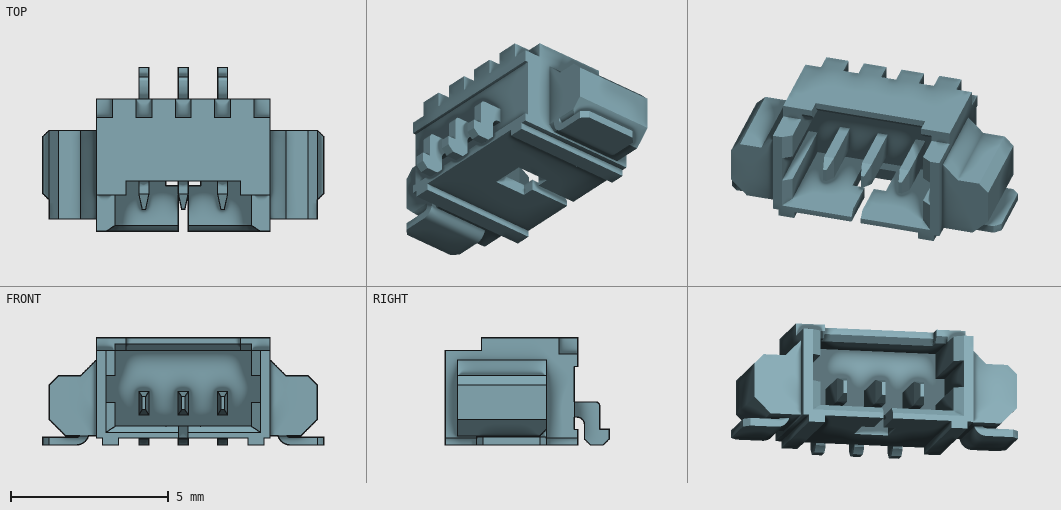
import cadquery as cq
import math


width = 5.5
base_z = 0.22
top_z = 3.4
rim_z = 3.0
back_y = 4.2
roof_front_y = 1.15

cavity_half = 2.15
mouth_half = 2.45
floor_z = 0.6
cavity_back_y = 2.955
flare_depth = 0.2
side_groove_z = (1.34, 2.2)
roof_bevel = 0.2

roof_notch_half = 1.81
roof_notch_back_y = 1.59
floor_slot_width = 0.3
floor_window_width = 1.1
floor_window_y = (1.45, 2.61)

relief_depth = 0.11
relief_z = (0.5, 2.48)
rear_notch_depth = 0.6
rear_notch_bottom_z = 2.88
rear_notch_width = 0.5
corner_notch_width = 0.52

standoff_x = (2.05, 2.56)

pitch = 1.25
contact_xs = [-pitch, 0, pitch]
contact_width = 0.32
blade_z = (0.95, 1.7)
blade_shoulder_y = 1.19
blade_tip_y = 0.7
tip_width = 0.11
tip_height = 0.41
tail_end_y = 5.2
tail_top_z = 1.37
tail_under_z = 0.88
tail_drop_y = (4.405, 4.895)
toe_top_z = 0.51
toe_chamfer = 0.2
inner_bend_radius = 0.23
outer_bend_radius = 0.13

wing_y = (0.39, 3.2)
wing_base_z = 0.29
wing_tip_x = 4.245
wing_shoulder_z = 2.2
wing_top_chamfer = 0.29
wing_under_chamfer = 0.52
wing_gusset_width = 0.5
wing_rear_chamfer = 0.205

nail_tip_x = 4.45
nail_thickness = 0.25
nail_y = (1.0, wing_y[1])
nail_chamfer = 0.205
nail_leg_x = 2.98
nail_outer_radius = 0.41
nail_leg_top_z = 0.8

half_width = width / 2


def block(x, y, z):
    """Axis-aligned block spanning the given (low, high) pairs."""
    size = (x[1] - x[0], y[1] - y[0], z[1] - z[0])
    return cq.Workplane("XY").box(*size, centered=False).translate((x[0], y[0], z[0]))


def centred(half, y, z):
    """Block of the given half width, symmetric about X = 0."""
    return block((-half, half), y, z)


def mirrored(shape):
    """The shape together with its mirror image across X = 0."""
    return shape.union(shape.mirror("YZ"))


def along_y(points, y):
    """Closed XZ outline extruded over the Y range."""
    return cq.Workplane("XZ", origin=(0, y[0], 0)).polyline(points).close().extrude(y[0] - y[1])


def along_x(points, half):
    """Closed YZ outline extruded symmetrically about X = 0."""
    return cq.Workplane("YZ").polyline(points).close().extrude(half, both=True)


def tapered_block(y_near, near, y_far, far):
    """Loft between two rectangles facing Y, each (width, low z, high z)."""
    def section(y, size):
        w, low, high = size
        wire = cq.Workplane("XZ", origin=(0, y, (low + high) / 2)).rect(w, high - low)
        return wire.wires().val()
    loft = cq.Solid.makeLoft([section(y_near, near), section(y_far, far)], True)
    return cq.Workplane("XY").add(loft)


def outer_housing():
    """Lower body, set-back roof and the two standoff rails."""
    body = centred(half_width, (0, back_y), (base_z, rim_z))
    roof = centred(half_width, (roof_front_y, back_y), (rim_z, top_z))
    standoff = block(standoff_x, (0, back_y), (0, base_z))
    return body.union(roof).union(mirrored(standoff))


def cavity():
    """Cavity with a groove along each side wall and a flared mouth."""
    hollow = centred(cavity_half, (0, cavity_back_y), (floor_z, rim_z))
    groove = centred(mouth_half, (0, cavity_back_y), side_groove_z)
    flare = tapered_block(
        0, (2 * mouth_half, floor_z - flare_depth, rim_z),
        flare_depth, (2 * cavity_half, floor_z, rim_z),
    )
    return hollow.union(groove).union(flare)


def roof_opening():
    """Notch in the roof, with the lower front edges of the roof bevelled."""
    def bevel(half, y):
        outline = [(y, rim_z), (y + roof_bevel, rim_z), (y, rim_z + roof_bevel)]
        return along_x(outline, half)

    notch = centred(roof_notch_half, (roof_front_y, roof_notch_back_y), (rim_z, top_z))
    notch = notch.union(bevel(roof_notch_half, roof_notch_back_y))
    return notch.union(bevel(cavity_half, roof_front_y))


def floor_opening():
    """Central slot from the mouth leading into a wider window."""
    slot = centred(floor_slot_width / 2, (0, floor_window_y[0]), (base_z, floor_z))
    window = centred(floor_window_width / 2, floor_window_y, (base_z, floor_z))
    return slot.union(window)


def rear_cuts():
    """Shallow relief across the back, with top notches over the contacts and at the corners."""
    cuts = centred(half_width, (back_y - relief_depth, back_y), relief_z)
    notch_y = (back_y - rear_notch_depth, back_y)
    notch_z = (rear_notch_bottom_z, top_z)
    for x in contact_xs:
        cuts = cuts.union(block((x - rear_notch_width / 2, x + rear_notch_width / 2), notch_y, notch_z))
    corner = block((half_width - corner_notch_width, half_width), notch_y, notch_z)
    return cuts.union(mirrored(corner))


def round_edge(shape, y, z, radius):
    """Fillet the edge along X that passes through the given Y and Z."""
    return shape.edges(cq.selectors.NearestToPointSelector((0, y, z))).fillet(radius)


def contact():
    """Pin with a pointed blade in the cavity and a bent-down solder tail at the rear."""
    shoulder = (contact_width, *blade_z)
    middle_z = sum(blade_z) / 2
    tip = (tip_width, middle_z - tip_height / 2, middle_z + tip_height / 2)
    blade = centred(contact_width / 2, (blade_shoulder_y, cavity_back_y), blade_z)
    blade = blade.union(tapered_block(blade_tip_y, tip, blade_shoulder_y, shoulder))

    inner_y, outer_y = tail_drop_y
    tail = (
        cq.Workplane("YZ")
        .moveTo(cavity_back_y, tail_top_z)
        .lineTo(outer_y, tail_top_z)
        .lineTo(outer_y, toe_top_z)
        .lineTo(tail_end_y, toe_top_z)
        .lineTo(tail_end_y, toe_chamfer)
        .lineTo(tail_end_y - toe_chamfer, 0)
        .lineTo(inner_y + toe_chamfer, 0)
        .lineTo(inner_y, toe_chamfer)
        .lineTo(inner_y, tail_under_z)
        .lineTo(cavity_back_y, tail_under_z)
        .close()
        .extrude(contact_width / 2, both=True)
    )
    tail = round_edge(tail, outer_y, tail_top_z, outer_bend_radius)
    tail = round_edge(tail, inner_y, tail_under_z, inner_bend_radius)
    return blade.union(tail)


def wing():
    """Solid side wing with a 45-degree gusset up the housing wall."""
    gusset_x = half_width + wing_gusset_width
    outline = [
        (half_width, wing_base_z),
        (wing_tip_x - wing_under_chamfer, wing_base_z),
        (wing_tip_x, wing_base_z + wing_under_chamfer),
        (wing_tip_x, wing_shoulder_z - wing_top_chamfer),
        (wing_tip_x - wing_top_chamfer, wing_shoulder_z),
        (gusset_x, wing_shoulder_z),
        (half_width, wing_shoulder_z + wing_gusset_width),
    ]
    return along_y(outline, wing_y).edges("|X and >Y and <Z").chamfer(wing_rear_chamfer)


def nail():
    """Solder nail: flat foot outside, bent up into the underside of the wing."""
    leg_in_x = nail_leg_x + nail_thickness
    bend_x = nail_leg_x + nail_outer_radius
    inner_radius = nail_outer_radius - nail_thickness
    diagonal = math.sqrt(0.5)
    strip = (
        cq.Workplane("XZ", origin=(0, nail_y[0], 0))
        .moveTo(nail_tip_x, 0)
        .lineTo(bend_x, 0)
        .threePointArc(
            (bend_x - nail_outer_radius * diagonal, nail_outer_radius * (1 - diagonal)),
            (nail_leg_x, nail_outer_radius),
        )
        .lineTo(nail_leg_x, nail_leg_top_z)
        .lineTo(leg_in_x, nail_leg_top_z)
        .lineTo(leg_in_x, nail_outer_radius)
        .threePointArc(
            (bend_x - inner_radius * diagonal, nail_outer_radius - inner_radius * diagonal),
            (bend_x, nail_thickness),
        )
        .lineTo(nail_tip_x, nail_thickness)
        .close()
        .extrude(nail_y[0] - nail_y[1])
    )
    return strip.edges("|Z and >X").chamfer(nail_chamfer)


housing = outer_housing()
for cut in (cavity(), roof_opening(), floor_opening(), rear_cuts()):
    housing = housing.cut(cut)

result = housing.union(mirrored(wing().union(nail())))
for x in contact_xs:
    result = result.union(contact().translate((x, 0, 0)))